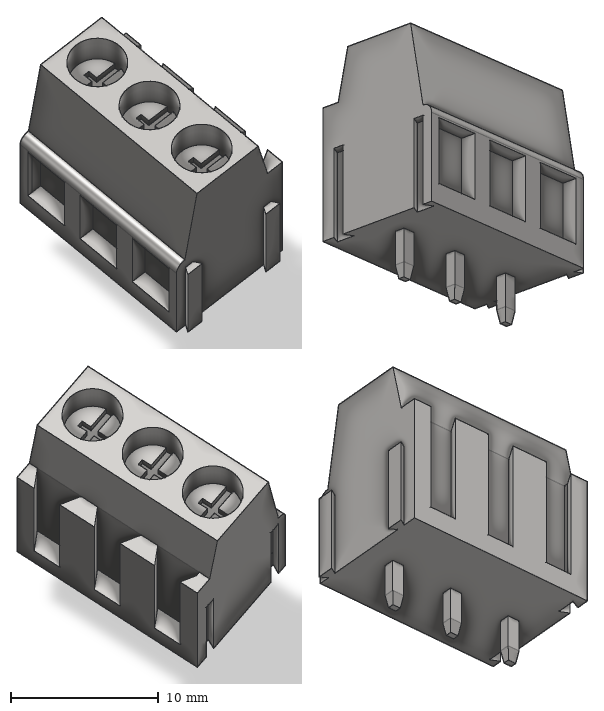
import cadquery as cq


overall_length = 15.8
overall_height = 17.3

pole_count = 3
pitch = 5.09
pole_centres = [pitch * (index + 0.5) for index in range(pole_count)]

housing_length = 15.24
housing_depth = 10.0
housing_height = 13.79
crown_front = 1.94
crown_back = 7.72
shoulder_height = 7.39
shoulder_radius = 0.8
ledge_height = 9.91
ledge_depth = 1.4
ledge_front = housing_depth - ledge_depth

window_width = 3.56
window_bottom = 1.55
window_top = 6.44
window_depth = 1.21

dovetail_positions = [1.21, 8.56]
tongue_height = overall_length - housing_length
tongue_top = 6.49
tongue_root_width = 0.7
tongue_tip_width = 1.35
groove_depth = 0.71
groove_top = 6.6
groove_mouth_width = 0.83
groove_floor_width = 1.5

slot_mouth_width = 2.15
slot_inner_width = 3.7
slot_floor = window_bottom
slot_groove_wall = 0.17
slot_start_x = groove_depth + slot_groove_wall

screw_y = (crown_front + crown_back) / 2
well_diameter = 4.12
screw_diameter = 3.96
screw_recess = 2.21
screw_head_height = 1.38
drive_depth = 0.52
drive_slot_width = 0.59
drive_bar_length = 2.1
drive_bar_width = 0.45
screw_top = housing_height - screw_recess
well_floor = screw_top - screw_head_height

pin_width = 0.97
pin_thickness = 0.81
pin_straight_length = 2.49
pin_length = overall_height - housing_height
pin_tip_width = 0.64
pin_tip_thickness = 0.47


def vertical_prism(points, bottom, top):
    """Extrude a closed XY outline between two heights."""
    return cq.Workplane("XY", origin=(0, 0, bottom)).polyline(points).close().extrude(top - bottom)


def dovetail(start_x, depth, mouth_width, wide_width, centre_y, top):
    """Vertical dovetail prism that widens toward +X, standing on the underside plane."""
    return vertical_prism(
        [
            (start_x, centre_y - mouth_width / 2),
            (start_x + depth, centre_y - wide_width / 2),
            (start_x + depth, centre_y + wide_width / 2),
            (start_x, centre_y + mouth_width / 2),
        ],
        0,
        top,
    )


def make_housing_block():
    """Side profile with a tapered crown, a rounded front shoulder and a back ledge."""
    arc_start = (shoulder_radius, shoulder_height)
    arc_end = (0, shoulder_height - shoulder_radius)
    return (
        cq.Workplane("YZ")
        .moveTo(0, 0)
        .lineTo(housing_depth, 0)
        .lineTo(housing_depth, ledge_height)
        .lineTo(ledge_front, ledge_height)
        .lineTo(crown_back, housing_height)
        .lineTo(crown_front, housing_height)
        .lineTo(*arc_start)
        .radiusArc(arc_end, -shoulder_radius)
        .close()
        .extrude(housing_length)
    )


def make_window(centre_x):
    """Rectangular blind pocket in the front face."""
    return cq.Workplane("XY").box(
        window_width, window_depth, window_top - window_bottom, centered=(True, False, False)
    ).translate((centre_x, 0, window_bottom))


def make_marker_slot(centre_x):
    """Slot through the back of the ledge, wider inside than at the back face."""
    flared = vertical_prism(
        [
            (centre_x - slot_mouth_width / 2, housing_depth),
            (centre_x - slot_inner_width / 2, ledge_front),
            (centre_x + slot_inner_width / 2, ledge_front),
            (centre_x + slot_mouth_width / 2, housing_depth),
        ],
        slot_floor,
        ledge_height,
    )
    allowed = cq.Workplane("XY").box(
        housing_length - slot_start_x, housing_depth, housing_height, centered=False
    ).translate((slot_start_x, 0, 0))
    return flared.intersect(allowed)


def make_screw_well(centre_x):
    """Round well from the crown down to the seat of the screw."""
    return (
        cq.Workplane("XY", origin=(centre_x, screw_y, well_floor))
        .circle(well_diameter / 2)
        .extrude(housing_height - well_floor)
    )


def make_housing():
    """Housing with tongues on the +X end and matching grooves in the -X end."""
    housing = make_housing_block()
    for centre_y in dovetail_positions:
        housing = housing.union(
            dovetail(housing_length, tongue_height, tongue_root_width, tongue_tip_width, centre_y, tongue_top)
        )
        housing = housing.cut(
            dovetail(0, groove_depth, groove_mouth_width, groove_floor_width, centre_y, groove_top)
        )
    for centre_x in pole_centres:
        housing = housing.cut(make_window(centre_x))
        housing = housing.cut(make_marker_slot(centre_x))
        housing = housing.cut(make_screw_well(centre_x))
    return housing


def make_screw(centre_x):
    """Cylindrical screw head with a full-width slot crossed by a short bar."""
    drive_floor = cq.Workplane("XY", origin=(centre_x, screw_y, screw_top - drive_depth))
    head = (
        cq.Workplane("XY", origin=(centre_x, screw_y, well_floor))
        .circle(screw_diameter / 2)
        .extrude(screw_head_height)
    )
    long_slot = drive_floor.rect(drive_slot_width, screw_diameter).extrude(drive_depth)
    cross_bar = drive_floor.rect(drive_bar_length, drive_bar_width).extrude(drive_depth)
    return head.cut(long_slot).cut(cross_bar)


def make_pin(centre_x):
    """Rectangular solder pin hanging from the underside, tapered at its tip."""
    shank = (
        cq.Workplane("XY", origin=(centre_x, screw_y, 0))
        .rect(pin_width, pin_thickness)
        .extrude(-pin_straight_length)
    )
    tip = (
        cq.Workplane("XY", origin=(centre_x, screw_y, -pin_straight_length))
        .rect(pin_width, pin_thickness)
        .workplane(offset=pin_straight_length - pin_length)
        .rect(pin_tip_width, pin_tip_thickness)
        .loft(ruled=True)
    )
    return shank.union(tip)


housing = make_housing()
screws = [make_screw(centre_x) for centre_x in pole_centres]
pins = [make_pin(centre_x) for centre_x in pole_centres]

result = cq.Compound.makeCompound(
    [
        housing.val(),
        *[screw.val() for screw in screws],
        *[pin.val() for pin in pins],
    ]
)